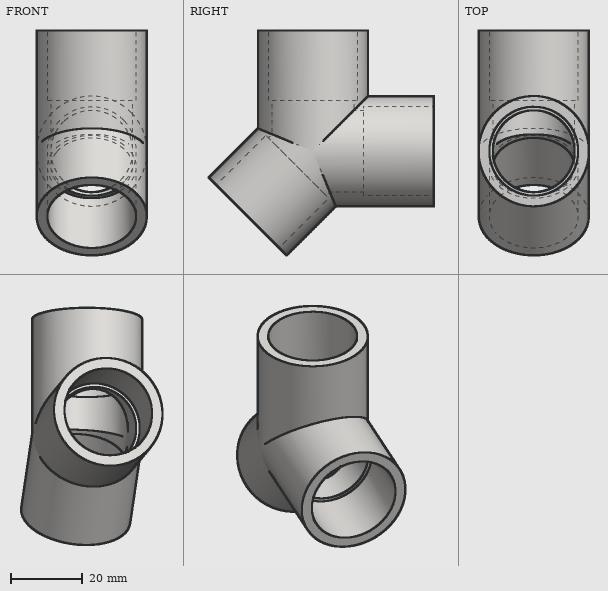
import cadquery as cq
import math

overall_size = 63.35
outer_diameter = 31.05
socket_diameter = 25.0
bore_diameter = 23.0
socket_depth = 19.75
slanted_arm_length = 26.0
slant_angle = math.radians(45)

slanted_arm_drop = slanted_arm_length * math.sin(slant_angle) + outer_diameter / 2 * math.cos(slant_angle)
straight_arm_length = overall_size - slanted_arm_drop

up = (0, 0, 1)
back = (0, 1, 0)
forward_and_down = (0, -math.cos(slant_angle), -math.sin(slant_angle))

arms = [
    (up, straight_arm_length),
    (back, straight_arm_length),
    (forward_and_down, slanted_arm_length),
]


def rod(direction, diameter, start, end):
    """Solid cylinder along a direction, between two distances from the centre."""
    cross_section = cq.Plane(origin=(0, 0, 0), xDir=(1, 0, 0), normal=direction)
    return (
        cq.Workplane(cross_section)
        .workplane(offset=start)
        .circle(diameter / 2)
        .extrude(end - start)
    )


body = cq.Workplane("XY")
for direction, length in arms:
    body = body.union(rod(direction, outer_diameter, 0, length))

for direction, length in arms:
    body = body.cut(rod(direction, bore_diameter, 0, length))
    body = body.cut(rod(direction, socket_diameter, length - socket_depth, length))

result = body